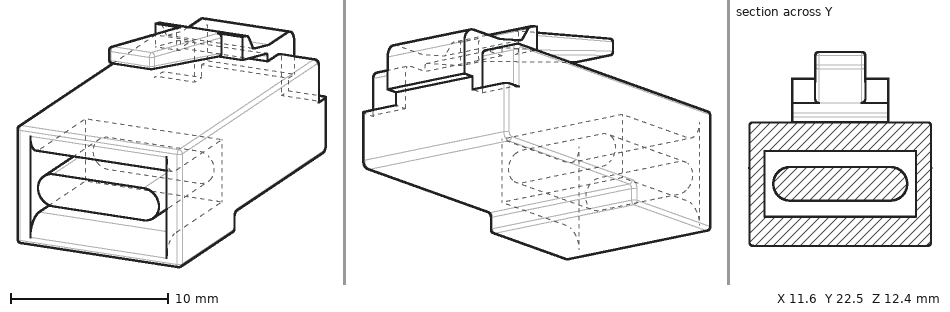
import cadquery as cq
import math


body_width = 11.6
body_height = 7.9
shoulder_y = 20.6
ledge_y = 21.6
ledge_z = 4.97
step_y = 8.14
step_z = 1.25
edge_radius = 0.25
rear_radius = 2 * edge_radius

opening_width = 9.62
opening_bottom = 0.56
opening_top = 7.35
flare_radius = 1.3
cavity_depth = step_y
cable_width = 8.55
cable_height = 2.15
opening_centre_z = (opening_bottom + opening_top) / 2

latch_width = 6.14
latch_rear_y = 22.48
latch_top_z = 8.95
latch_corner_radius = 1.0
latch_foot_z = 5.82
latch_front_y = 18.52
latch_inner_z = 8.43
root_fillet = 0.25
tongue_outer_y = 18.73
ramp_bottom = (16.43, 9.37)
ramp_top = (15.6, 10.52)
ramp_bottom_radius = 0.45
ramp_top_radius = 0.72
block_front_y = 14.81
block_bottom_z = 9.1
arm_width = 3.2
arm_tip_y = 4.7
arm_tip_top_z = 12.4
arm_tip_bottom_z = 11.3


def extrude_across(profile, width):
    """Extrude a YZ profile symmetrically about the middle plane X = 0."""
    return profile.extrude(width / 2, both=True)


def housing(rear_y):
    """Full-height stepped housing with rounded edges, ending at rear_y."""
    profile = cq.Workplane("YZ").polyline([
        (0, 0),
        (step_y, 0),
        (step_y, step_z),
        (rear_y, step_z),
        (rear_y, body_height),
        (0, body_height),
    ]).close()
    solid = extrude_across(profile, body_width)
    solid = solid.edges("|X and >Y").fillet(rear_radius)
    inner_corner = cq.selectors.NearestToPointSelector((0, step_y, step_z))
    solid = solid.edges(inner_corner).fillet(edge_radius)
    return solid.faces("<X or >X or <Y or <Z").edges().fillet(edge_radius)


def ledged_housing():
    """Housing with a ledge across the lower half of its rear end."""
    above_ledge = (
        cq.Workplane("XY", origin=(0, 0, ledge_z))
        .rect(2 * body_width, 4 * latch_rear_y)
        .extrude(body_height)
    )
    return housing(shoulder_y).union(housing(ledge_y).cut(above_ledge))


def cable_cavity():
    """Blind opening whose top and bottom edges flare out in convex arcs."""
    bend = flare_radius * (1 - math.sqrt(0.5))
    floor_z = opening_bottom + flare_radius
    ceiling_z = opening_top - flare_radius
    profile = (
        cq.Workplane("YZ")
        .moveTo(0, opening_bottom)
        .threePointArc((bend, floor_z - bend), (flare_radius, floor_z))
        .lineTo(cavity_depth, floor_z)
        .lineTo(cavity_depth, ceiling_z)
        .lineTo(flare_radius, ceiling_z)
        .threePointArc((bend, ceiling_z + bend), (0, opening_top))
        .close()
    )
    return extrude_across(profile, opening_width)


def cable():
    """Flat cable with round sides, from the cavity wall to the front end."""
    return (
        cq.Workplane("XZ", origin=(0, 0, opening_centre_z))
        .slot2D(cable_width, cable_height)
        .extrude(-cavity_depth)
    )


def on_line(start, end, y):
    """Height at y of the straight line through two YZ points."""
    return start[1] + (end[1] - start[1]) * (y - start[0]) / (end[0] - start[0])


arm_tip_top = (arm_tip_y, arm_tip_top_z)
arm_tip_bottom = (arm_tip_y, arm_tip_bottom_z)
tongue_inner = (latch_front_y, latch_inner_z)
block_top = (block_front_y, on_line(ramp_top, arm_tip_top, block_front_y))
block_bottom = (block_front_y, block_bottom_z)


def latch():
    """Wide latch: the root on the rear end and the tongue up to the block."""
    inside_y = shoulder_y - rear_radius
    inside_z = body_height - edge_radius
    profile = cq.Workplane("YZ").polyline([
        (inside_y, ledge_z),
        (ledge_y, ledge_z),
        (ledge_y, latch_foot_z),
        (latch_rear_y, latch_foot_z),
        (latch_rear_y, latch_top_z),
        (tongue_outer_y, latch_top_z),
        ramp_bottom,
        ramp_top,
        block_top,
        block_bottom,
        tongue_inner,
        (latch_front_y, inside_z),
        (inside_y, inside_z),
    ]).close()
    solid = extrude_across(profile, latch_width)
    rounded_corners = [
        ((latch_rear_y, latch_top_z), latch_corner_radius),
        (ramp_bottom, ramp_bottom_radius),
        (ramp_top, ramp_top_radius),
        (tongue_inner, root_fillet),
    ]
    for (y, z), radius in rounded_corners:
        corner = cq.selectors.NearestToPointSelector((0, y, z))
        solid = solid.edges("|X").edges(corner).fillet(radius)
    return solid


def arm():
    """Narrow tapered arm with rounded edges in front of the block."""
    profile = cq.Workplane("YZ").polyline([
        block_top,
        arm_tip_top,
        arm_tip_bottom,
        block_bottom,
    ]).close()
    solid = extrude_across(profile, arm_width)
    return solid.edges("not(>Y)").fillet(edge_radius)


result = (
    ledged_housing()
    .cut(cable_cavity())
    .union(cable())
    .union(latch())
    .union(arm())
)